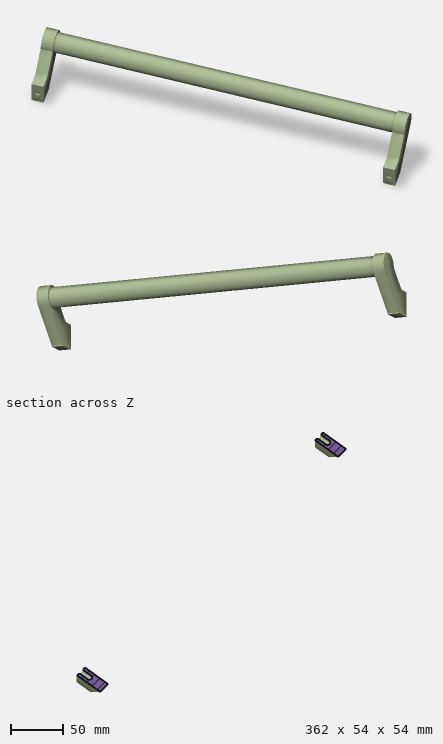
import cadquery as cq
import math


overall_length = 362.0
bracket_thickness = 12.0
bar_diameter = 20.0
head_radius = 12.0
axis_offset = 42.0
arm_angle = 45.0
foot_height = 24.0
foot_length = 17.8
crank_fillet = 6.0

hole_diameter = 4.8
hole_mouth_diameter = 6.0
hole_depth = 12.0
drill_point_angle = 118.0

arm_slope = math.tan(math.radians(arm_angle))
head_front_y = axis_offset - head_radius
upper_corner_y = head_front_y - (axis_offset - foot_height) / arm_slope
tangent_y = axis_offset + head_radius * math.sin(math.radians(arm_angle))
tangent_z = axis_offset - head_radius * math.cos(math.radians(arm_angle))
foot_step_height = tangent_z - (tangent_y - foot_length) * arm_slope


def bracket(x_start):
    """Cranked bracket spanning one thickness from x_start."""
    blank = (
        cq.Workplane("YZ", origin=(x_start, 0, 0))
        .moveTo(0, 0)
        .lineTo(0, foot_height)
        .lineTo(upper_corner_y, foot_height)
        .lineTo(head_front_y, axis_offset)
        .threePointArc((axis_offset, axis_offset + head_radius), (tangent_y, tangent_z))
        .lineTo(foot_length, foot_step_height)
        .lineTo(foot_length, 0)
        .close()
        .extrude(bracket_thickness)
    )
    inside_corner = cq.selectors.NearestToPointSelector(
        (x_start + bracket_thickness / 2, upper_corner_y, foot_height)
    )
    return blank.edges("|X").edges(inside_corner).fillet(crank_fillet)


def mounting_hole(x_start):
    """Blind drilled hole with a 45 degree chamfered mouth and a conical drill point."""
    bore_radius = hole_diameter / 2
    mouth_radius = hole_mouth_diameter / 2
    chamfer_depth = mouth_radius - bore_radius
    point_length = bore_radius / math.tan(math.radians(drill_point_angle / 2))
    half_section = (
        cq.Workplane("XY", origin=(x_start + bracket_thickness / 2, 0, foot_height / 2))
        .moveTo(0, 0)
        .lineTo(mouth_radius, 0)
        .lineTo(bore_radius, chamfer_depth)
        .lineTo(bore_radius, hole_depth)
        .lineTo(0, hole_depth + point_length)
        .close()
    )
    return half_section.revolve(360, (0, 0, 0), (0, 1, 0))


bar_start_x = -overall_length / 2
right_bracket_x = overall_length / 2 - bracket_thickness
result = (
    cq.Workplane("YZ", origin=(bar_start_x, axis_offset, axis_offset))
    .circle(bar_diameter / 2)
    .extrude(overall_length)
)

for bracket_x in (bar_start_x, right_bracket_x):
    drilled_bracket = bracket(bracket_x).cut(mounting_hole(bracket_x))
    result = result.union(drilled_bracket, clean=False)